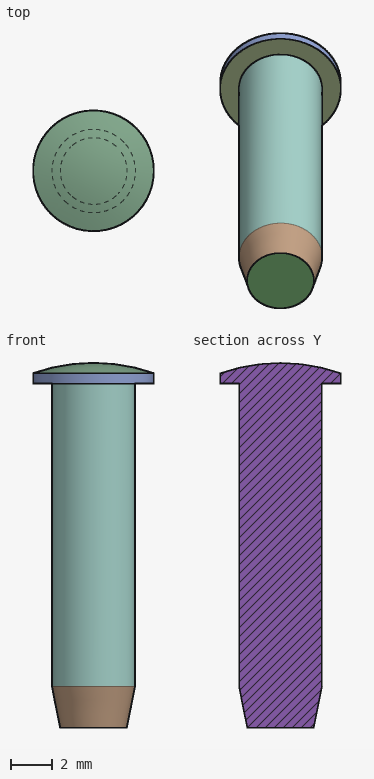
import cadquery as cq

HEAD_DIAMETER = 5.8
HEAD_RIM_HEIGHT = 0.5
DOME_HEIGHT = 0.5
SHANK_DIAMETER = 4.0
TIP_DIAMETER = 3.2
TIP_LENGTH = 2.0
TOTAL_LENGTH = 17.5

head_radius = HEAD_DIAMETER / 2
shank_radius = SHANK_DIAMETER / 2
tip_radius = TIP_DIAMETER / 2
dome_radius = (head_radius**2 + DOME_HEIGHT**2) / (2 * DOME_HEIGHT)

rim_top = HEAD_RIM_HEIGHT
dome_top = rim_top + DOME_HEIGHT
tip_bottom = dome_top - TOTAL_LENGTH
taper_start = tip_bottom + TIP_LENGTH


def make_pin():
    """Revolve the half section of the domed-head pin about the Z axis."""
    half_section = (
        cq.Workplane("XZ")
        .moveTo(0, tip_bottom)
        .lineTo(tip_radius, tip_bottom)
        .lineTo(shank_radius, taper_start)
        .lineTo(shank_radius, 0)
        .lineTo(head_radius, 0)
        .lineTo(head_radius, rim_top)
        .radiusArc((0, dome_top), -dome_radius)
        .close()
    )
    return half_section.revolve(360, (0, 0, 0), (0, 1, 0))


result = make_pin()